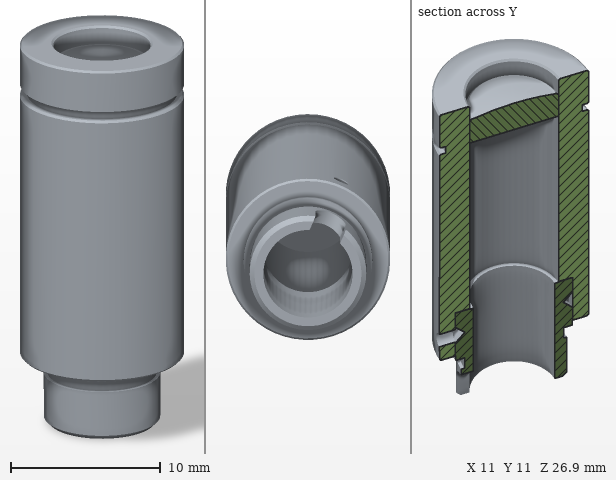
import cadquery as cq

TOTAL_HEIGHT = 26.87
HOUSING_DIAMETER = 11.0
HOUSING_RADIUS = HOUSING_DIAMETER / 2

HOUSING_BOTTOM = 4.75
EDGE_BREAK = 0.13
GROOVE_RADIUS = 5.02
GROOVE_BOTTOM = 23.32
GROOVE_TOP = 23.85
APERTURE_RADIUS = 3.25
APERTURE_EDGE_BREAK = 0.13

LENS_RIM_TOP = 25.65
LENS_BEVEL_RADIUS = 3.1
LENS_DOME_RADIUS = 2.93
LENS_DOME_HEIGHT = 0.27
DOME_CURVATURE_RADIUS = (LENS_DOME_RADIUS**2 + LENS_DOME_HEIGHT**2) / (2 * LENS_DOME_HEIGHT)
LENS_THICKNESS = 2.15

BORE_RADIUS = 2.98
PLUG_RADIUS = 3.9
PLUG_TOP = 3.45
PLUG_CHAMFER = 0.32
NECK_RADIUS = 3.65
FLANGE_RADIUS = 4.3
FLANGE_BOTTOM = 4.33
INSERT_TOP = 8.6
KEYWAY_WIDTH = 2.23
KEYWAY_HEIGHT = 2.9

SCREW_HOLE_RADIUS = 0.55
SCREW_HOLE_Z = 6.58
V_GROOVE_Z = 6.65
V_GROOVE_DEPTH = 0.67


def revolve_profile(points):
    """Turn a closed (radius, z) outline about the Z axis."""
    return cq.Workplane("XZ").polyline(points).close().revolve(360, (0, 0), (0, 1))


def cylinder(radius, bottom, top):
    return cq.Workplane("XY").workplane(offset=bottom).circle(radius).extrude(top - bottom)


def make_housing():
    """Barrel with a ring groove, stepped bore and one radial screw hole."""
    lower = cylinder(HOUSING_RADIUS, HOUSING_BOTTOM, GROOVE_BOTTOM).edges().chamfer(EDGE_BREAK)
    waist = cylinder(GROOVE_RADIUS, GROOVE_BOTTOM, GROOVE_TOP)
    head = cylinder(HOUSING_RADIUS, GROOVE_TOP, TOTAL_HEIGHT).edges().chamfer(EDGE_BREAK)
    body = lower.union(waist).union(head)

    body = body.cut(cylinder(APERTURE_RADIUS, HOUSING_BOTTOM, TOTAL_HEIGHT))
    body = body.cut(cylinder(FLANGE_RADIUS, HOUSING_BOTTOM, INSERT_TOP))
    aperture_rim = cq.selectors.RadiusNthSelector(0)
    body = body.faces(">Z").edges(aperture_rim).chamfer(APERTURE_EDGE_BREAK)

    screw_hole = (
        cq.Workplane("YZ").center(0, SCREW_HOLE_Z).circle(SCREW_HOLE_RADIUS).extrude(-HOUSING_RADIUS)
    )
    return body.cut(screw_hole)


def make_lens():
    """Plano-convex disc with a bevelled rim."""
    bottom = LENS_RIM_TOP - LENS_THICKNESS
    bevel = APERTURE_RADIUS - LENS_BEVEL_RADIUS
    return (
        cq.Workplane("XZ")
        .moveTo(0, bottom)
        .lineTo(APERTURE_RADIUS, bottom)
        .lineTo(APERTURE_RADIUS, LENS_RIM_TOP - bevel)
        .lineTo(LENS_BEVEL_RADIUS, LENS_RIM_TOP)
        .lineTo(LENS_DOME_RADIUS, LENS_RIM_TOP)
        .radiusArc((0, LENS_RIM_TOP + LENS_DOME_HEIGHT), -DOME_CURVATURE_RADIUS)
        .close()
        .revolve(360, (0, 0), (0, 1))
    )


def make_connector():
    """Hollow turned connector with a V-groove and a round-topped keyway."""
    body = revolve_profile([
        (BORE_RADIUS, 0),
        (PLUG_RADIUS - PLUG_CHAMFER, 0),
        (PLUG_RADIUS, PLUG_CHAMFER),
        (PLUG_RADIUS, PLUG_TOP),
        (NECK_RADIUS, PLUG_TOP),
        (NECK_RADIUS, FLANGE_BOTTOM),
        (FLANGE_RADIUS, FLANGE_BOTTOM),
        (FLANGE_RADIUS, V_GROOVE_Z - V_GROOVE_DEPTH),
        (FLANGE_RADIUS - V_GROOVE_DEPTH, V_GROOVE_Z),
        (FLANGE_RADIUS, V_GROOVE_Z + V_GROOVE_DEPTH),
        (FLANGE_RADIUS, INSERT_TOP),
        (BORE_RADIUS, INSERT_TOP),
    ])
    half_width = KEYWAY_WIDTH / 2
    arch_start = KEYWAY_HEIGHT - half_width
    keyway = (
        cq.Workplane("YZ")
        .moveTo(-half_width, 0)
        .lineTo(-half_width, arch_start)
        .threePointArc((0, KEYWAY_HEIGHT), (half_width, arch_start))
        .lineTo(half_width, 0)
        .close()
        .extrude(-PLUG_RADIUS)
    )
    return body.cut(keyway)


housing = make_housing()
lens = make_lens()
connector = make_connector()

result = cq.Compound.makeCompound([housing.val(), lens.val(), connector.val()])